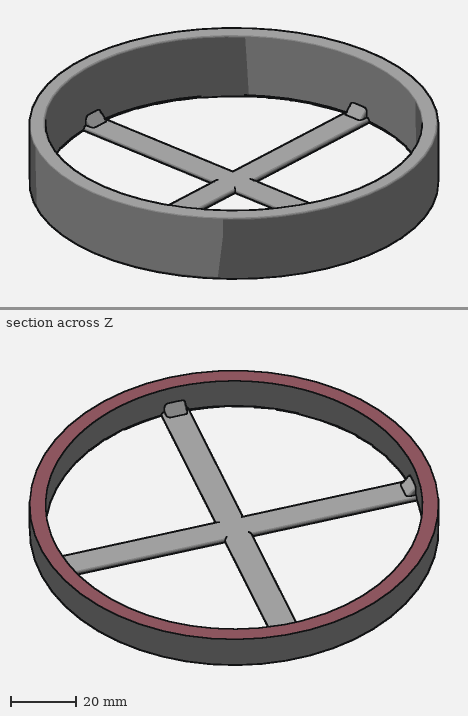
import cadquery as cq

outer_diameter = 125.5
inner_diameter = 115.5
ring_height = 22.0
edge_break = 1.0

bar_width = 8.8
bar_thickness = 2 * edge_break

gusset_leg = 3.1
gusset_width = bar_width - 2 * edge_break
wall_overlap = 1.3

inner_radius = inner_diameter / 2
bar_length = inner_diameter + 2 * wall_overlap


def make_ring():
    ring = cq.Workplane("XY").circle(outer_diameter / 2).circle(inner_radius).extrude(ring_height)
    return ring.faces("<Z or >Z").edges().fillet(edge_break)


def make_bar(angle):
    """Bar with fully rounded long sides, reaching into the wall at both ends."""
    side = bar_width / 2 - edge_break
    profile = (
        cq.Workplane("YZ")
        .moveTo(-side, 0)
        .lineTo(side, 0)
        .threePointArc((bar_width / 2, edge_break), (side, bar_thickness))
        .lineTo(-side, bar_thickness)
        .threePointArc((-bar_width / 2, edge_break), (-side, 0))
        .close()
    )
    return profile.extrude(bar_length / 2, both=True).rotate((0, 0, 0), (0, 0, 1), angle)


def make_gusset(angle):
    """45 degree wedge with rounded slope sides, its back sunk into the wall."""
    toe = inner_radius - gusset_leg
    back = inner_radius + wall_overlap
    wedge = (
        cq.Workplane("XZ")
        .moveTo(toe, bar_thickness)
        .lineTo(back, bar_thickness + gusset_leg + wall_overlap)
        .lineTo(back, 0)
        .lineTo(toe, 0)
        .close()
        .extrude(gusset_width / 2, both=True)
    )
    slope_sides = wedge.edges(cq.selectors.ParallelDirSelector(cq.Vector(1, 0, 1)))
    return slope_sides.fillet(edge_break).rotate((0, 0, 0), (0, 0, 1), angle)


result = make_ring().union(make_bar(0)).union(make_bar(90))
for angle in (0, 90, 180, 270):
    result = result.union(make_gusset(angle))